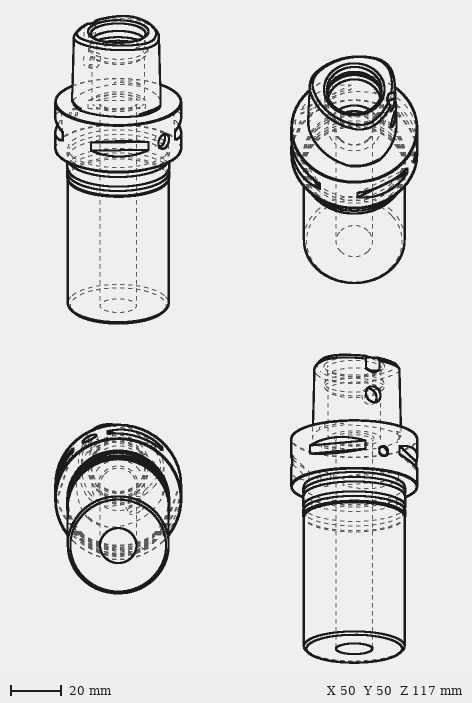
import cadquery as cq
import math

total_length = 117.0
flange_top = 87.0
flange_height = 20.0
flange_bottom = flange_top - flange_height
collar_bottom = 54.5

body_radius = 40.0 / 2
collar_radius = 40.5 / 2
flange_radius = 50.0 / 2
flange_edge_break = 0.2
end_chamfer = 1.0
collar_top_cone = 1.0
collar_bottom_cone = 0.6
ring_groove_width = 1.9
ring_groove_depth = 0.5
ring_groove_levels = (64.0, 58.0)

shank_base = 89.2
flank_distance = 16.5
lobe_distance = 18.6
flank_radius = 24.2
taper_per_length = 1 / 40
tip_chamfer_height = 1.5
tip_chamfer_width = 1.2

seat_radius = 17.9
seat_height = 0.2
seat_foot_radius = 19.4
undercut_cylinder_top = 88.0

bore_mouth_radius = 24.0 / 2
bore_upper_radius = 10.9
bore_mouth_depth = 0.9
bore_groove_radius = 23.5 / 2
bore_neck_level = 113.0
bore_groove_top = 109.9
bore_groove_bottom = 108.3
bore_ledge_bottom = 107.2
bore_lower_radius = 21.0 / 2
bore_floor = flange_top
through_radius = 14.4 / 2
through_chamfer = 0.7

slot_level = 77.0
slot_floor_distance = 22.2
slot_floor_width = 3.4
slot_flare_angle = 30.0

drill_point_angle = 118.0
shank_drill_diameter = 6.5
shank_pit_level = 101.0
shank_pit_depth = 3.5
tip_notch_axis = 16.8
tip_notch_bottom = 111.6
flange_pit_diameter = 4.0
flange_pit_level = 75.1
flange_pit_depth = 0.9

pocket_diameter = 6.1
pocket_level = (flange_top + flange_bottom) / 2
pocket_depth = 2.3


def trilobe(level, inset):
    """Closed outline of six tangent arcs, shrunk evenly by the inset."""
    flank_offset = flank_radius - flank_distance
    gap = flank_radius - lobe_distance
    lobe_offset = (flank_offset**2 - gap**2) / (2 * gap - flank_offset)
    lobe_radius = lobe_distance - lobe_offset
    flank_x = -flank_offset * math.cos(math.radians(60))
    flank_y = -flank_offset * math.sin(math.radians(60))
    joint_angle = math.atan2(-flank_y, lobe_offset - flank_x)
    joint_x = lobe_offset + (lobe_radius - inset) * math.cos(joint_angle)
    joint_y = (lobe_radius - inset) * math.sin(joint_angle)
    joint_distance = math.hypot(joint_x, joint_y)
    joint_polar = math.degrees(math.atan2(joint_y, joint_x))

    def polar(distance, degrees):
        angle = math.radians(degrees)
        return (distance * math.cos(angle), distance * math.sin(angle))

    outline = cq.Workplane("XY").workplane(offset=level).moveTo(*polar(joint_distance, -joint_polar))
    for lobe_angle in (0, 120, 240):
        outline = outline.threePointArc(
            polar(lobe_distance - inset, lobe_angle),
            polar(joint_distance, lobe_angle + joint_polar),
        ).threePointArc(
            polar(flank_distance - inset, lobe_angle + 60),
            polar(joint_distance, lobe_angle + 120 - joint_polar),
        )
    return outline.close().wire().val()


def ruled_section(low_level, low_inset, high_level, high_inset):
    wires = [trilobe(low_level, low_inset), trilobe(high_level, high_inset)]
    return cq.Workplane(cq.Solid.makeLoft(wires, True))


def revolve_profile(points):
    return cq.Workplane("XZ").polyline(points).close().revolve(360, (0, 0, 0), (0, 1, 0))


def turned_body():
    body = revolve_profile([
        (0, 0),
        (body_radius - end_chamfer, 0),
        (body_radius, end_chamfer),
        (body_radius, collar_bottom),
        (collar_radius, collar_bottom + collar_bottom_cone),
        (collar_radius, flange_bottom - collar_top_cone),
        (body_radius, flange_bottom),
        (flange_radius - flange_edge_break, flange_bottom),
        (flange_radius, flange_bottom + flange_edge_break),
        (flange_radius, flange_top - flange_edge_break),
        (flange_radius - flange_edge_break, flange_top),
        (seat_foot_radius, flange_top),
        (seat_radius, flange_top + seat_height),
        (0, flange_top + seat_height),
    ])
    for level in ring_groove_levels:
        groove = (
            cq.Workplane("XZ")
            .moveTo(collar_radius, level - ring_groove_width / 2)
            .threePointArc(
                (collar_radius - ring_groove_depth, level),
                (collar_radius, level + ring_groove_width / 2),
            )
            .close()
            .revolve(360, (0, 0, 0), (0, 1, 0))
        )
        body = body.cut(groove)
    return body


def shank():
    tip_level = total_length - tip_chamfer_height
    tip_inset = (tip_level - shank_base) * taper_per_length
    foot = ruled_section(flange_top, 0, shank_base, 0)
    taper = ruled_section(shank_base, 0, tip_level, tip_inset)
    tip = ruled_section(tip_level, tip_inset, total_length, tip_inset + tip_chamfer_width)
    widening = shank_base - undercut_cylinder_top
    envelope = revolve_profile([
        (0, flange_top),
        (seat_radius, flange_top),
        (seat_radius, undercut_cylinder_top),
        (seat_radius + widening, shank_base),
        (seat_radius + widening, total_length),
        (0, total_length),
    ])
    return foot.union(taper).union(tip).intersect(envelope)


def bore():
    return revolve_profile([
        (0, total_length),
        (bore_mouth_radius, total_length),
        (bore_upper_radius, total_length - bore_mouth_depth),
        (bore_lower_radius, bore_neck_level),
        (bore_groove_radius, bore_groove_top),
        (bore_groove_radius, bore_groove_bottom),
        (bore_lower_radius, bore_ledge_bottom),
        (bore_lower_radius, bore_floor),
        (through_radius + through_chamfer, bore_floor),
        (through_radius, bore_floor - through_chamfer),
        (through_radius, 0),
        (0, 0),
    ])


def gripper_slot(angle):
    depth = flange_radius - slot_floor_distance
    floor_half = slot_floor_width / 2
    mouth_half = floor_half + depth * math.tan(math.radians(slot_flare_angle))
    return (
        cq.Workplane("XZ")
        .polyline([
            (slot_floor_distance, slot_level - floor_half),
            (flange_radius, slot_level - mouth_half),
            (flange_radius, slot_level + mouth_half),
            (slot_floor_distance, slot_level + floor_half),
        ])
        .close()
        .extrude(flange_radius, both=True)
        .rotate((0, 0, 0), (0, 0, 1), angle)
    )


def drill(diameter, length):
    """Upright drill body: cylinder from height 0 up, with its conical point below."""
    radius = diameter / 2
    point_depth = radius / math.tan(math.radians(drill_point_angle / 2))
    return revolve_profile([(0, -point_depth), (radius, 0), (radius, length), (0, length)])


def side_pit(diameter, surface_distance, depth, level):
    """Drilled pit entering from -X, its full diameter reaching the given depth."""
    tool = drill(diameter, flange_radius).rotate((0, 0, 0), (0, 1, 0), -90)
    return tool.translate((depth - surface_distance, 0, level))


def shank_pit():
    surface_distance = flank_distance - (shank_pit_level - shank_base) * taper_per_length
    return side_pit(shank_drill_diameter, surface_distance, shank_pit_depth, shank_pit_level)


def flange_pit():
    return side_pit(flange_pit_diameter, flange_radius, flange_pit_depth, flange_pit_level)


def tip_notch():
    """Drilled notch parallel to Z, open through the -X flank and the shank end."""
    tool = drill(shank_drill_diameter, total_length - tip_notch_bottom)
    return tool.translate((-tip_notch_axis, 0, tip_notch_bottom))


def flange_pocket():
    return (
        cq.Workplane("YZ")
        .workplane(offset=flange_radius - pocket_depth)
        .center(0, pocket_level)
        .circle(pocket_diameter / 2)
        .extrude(pocket_depth)
    )


result = turned_body().union(shank()).cut(bore())
for quarter in range(4):
    result = result.cut(gripper_slot(45 + 90 * quarter))
result = result.cut(shank_pit()).cut(tip_notch()).cut(flange_pit()).cut(flange_pocket())